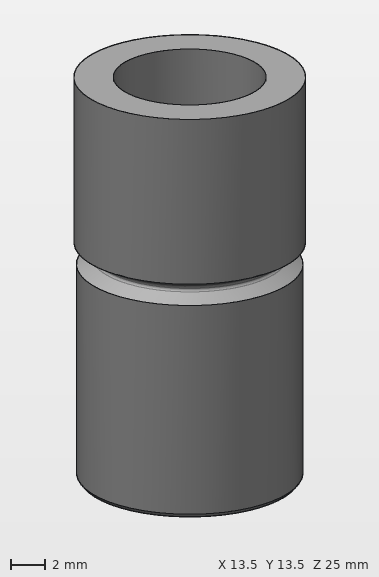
import cadquery as cq
import math

length = 25.0
head_radius = 6.75
body_radius = 6.6
bore_radius = 4.45

groove_radius = 5.6
groove_height = 13.98
upper_flank_angle = math.radians(26)
lower_flank_angle = math.radians(29)
upper_fillet = 0.25
lower_fillet = 0.2

chamfer_width = 0.2
chamfer_height = 0.25


def fillet_point(fillet, angle, side):
    """Point on a groove fillet, turned by angle from the horizontal flank.

    At 90 degrees it is the groove bottom. Side is +1 above it and -1 below.
    """
    radius = groove_radius + fillet * (1 - math.sin(angle))
    height = groove_height + side * fillet * math.cos(angle)
    return radius, height


def halfway_to_bottom(flank_angle):
    return (flank_angle + math.pi / 2) / 2


upper_tangent = fillet_point(upper_fillet, upper_flank_angle, 1)
upper_middle = fillet_point(upper_fillet, halfway_to_bottom(upper_flank_angle), 1)
lower_tangent = fillet_point(lower_fillet, lower_flank_angle, -1)
lower_middle = fillet_point(lower_fillet, halfway_to_bottom(lower_flank_angle), -1)

head_bottom = upper_tangent[1] + (head_radius - upper_tangent[0]) * math.tan(upper_flank_angle)
body_top = lower_tangent[1] - (body_radius - lower_tangent[0]) * math.tan(lower_flank_angle)

half_section = (
    cq.Workplane("XZ")
    .moveTo(bore_radius, 0)
    .lineTo(body_radius - chamfer_width, 0)
    .lineTo(body_radius, chamfer_height)
    .lineTo(body_radius, body_top)
    .lineTo(*lower_tangent)
    .threePointArc(lower_middle, (groove_radius, groove_height))
    .threePointArc(upper_middle, upper_tangent)
    .lineTo(head_radius, head_bottom)
    .lineTo(head_radius, length)
    .lineTo(bore_radius, length)
    .close()
)
result = half_section.revolve(360, (0, 0, 0), (0, 1, 0))